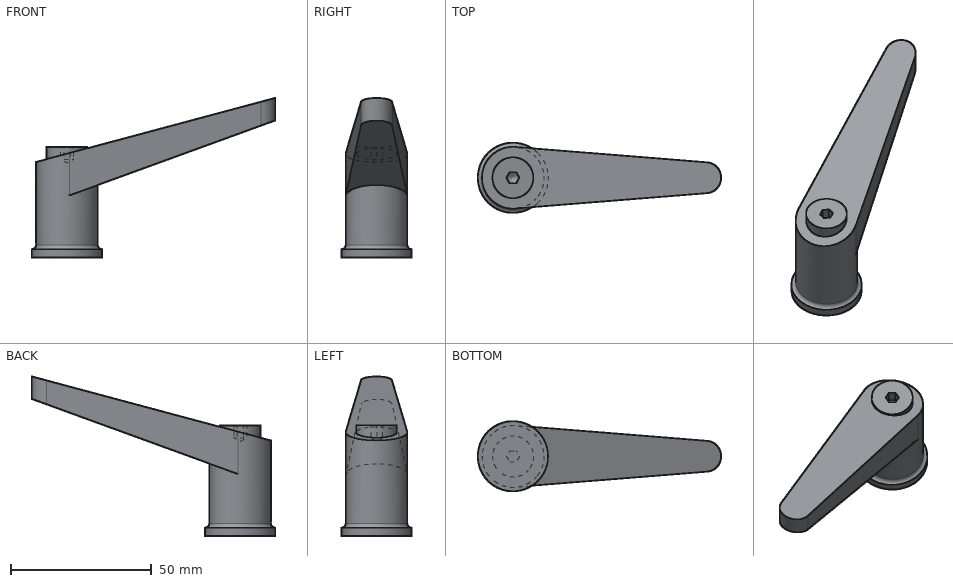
import cadquery as cq
import math

overall_length = 86.5
overall_height = 56.7
flange_diameter = 25.0
flange_height = 3.0
hub_radius = 11.0
tip_radius = 5.5
arm_top_angle = 15.0
arm_bottom_angle = 20.0
tip_thickness = 8.05
screw_radius = 7.3
screw_top = 39.35
socket_across_flats = 4.0
socket_depth = 4.3
socket_cone_angle = 120.0

flange_radius = flange_diameter / 2
cove_radius = flange_radius - hub_radius
tip_end = overall_length - flange_radius
tip_center = tip_end - tip_radius
top_slope = math.tan(math.radians(arm_top_angle))
bottom_slope = math.tan(math.radians(arm_bottom_angle))


def arm_top(x):
    """Height of the sloping upper face at x."""
    return overall_height - top_slope * (tip_end - x)


def arm_bottom(x):
    """Height of the sloping lower face at x."""
    return overall_height - tip_thickness - bottom_slope * (tip_end - x)


def side_prism(points):
    """Extrude an XZ outline across the full width of the part."""
    return cq.Workplane("XZ").polyline(points).close().extrude(flange_radius, both=True)


def make_hub():
    """Round column with a base flange and cove, cut off by the sloping upper face."""
    cove_top = flange_height + cove_radius
    cove_middle = cove_radius * (1 - math.sqrt(0.5))
    column = (
        cq.Workplane("XZ")
        .lineTo(flange_radius, 0)
        .lineTo(flange_radius, flange_height)
        .threePointArc(
            (hub_radius + cove_middle, flange_height + cove_middle),
            (hub_radius, cove_top),
        )
        .lineTo(hub_radius, overall_height)
        .lineTo(0, overall_height)
        .close()
        .revolve(360, (0, 0), (0, 1))
    )
    below_top_face = side_prism([
        (-flange_radius, 0),
        (flange_radius, 0),
        (flange_radius, arm_top(flange_radius)),
        (-flange_radius, arm_top(-flange_radius)),
    ])
    return column.intersect(below_top_face)


def make_arm():
    """Tapered arm: tangent lines from hub to round tip, bounded by two sloping faces."""
    tangent_sin = (hub_radius - tip_radius) / tip_center
    tangent_cos = math.sqrt(1 - tangent_sin**2)
    hub_x = hub_radius * tangent_sin
    hub_y = hub_radius * tangent_cos
    tip_x = tip_center + tip_radius * tangent_sin
    tip_y = tip_radius * tangent_cos
    plan = (
        cq.Workplane("XY")
        .moveTo(hub_x, -hub_y)
        .lineTo(tip_x, -tip_y)
        .threePointArc((tip_end, 0), (tip_x, tip_y))
        .lineTo(hub_x, hub_y)
        .close()
        .extrude(overall_height)
    )
    side = side_prism([
        (hub_x, arm_bottom(hub_x)),
        (tip_end, arm_bottom(tip_end)),
        (tip_end, arm_top(tip_end)),
        (hub_x, arm_top(hub_x)),
    ])
    return plan.intersect(side)


def make_screw_head():
    """Cylindrical head rising from inside the hub through the sloping face."""
    return cq.Workplane("XY").circle(screw_radius).extrude(screw_top)


def make_socket():
    """Hexagonal socket ending in a conical bottom."""
    across_corners = socket_across_flats / math.cos(math.radians(30))
    corner_radius = across_corners / 2
    cone_depth = corner_radius / math.tan(math.radians(socket_cone_angle / 2))
    hexagon = (
        cq.Workplane("XY")
        .workplane(offset=screw_top - socket_depth - cone_depth)
        .polygon(6, across_corners)
        .extrude(socket_depth + cone_depth)
    )
    drilled_space = (
        cq.Workplane("XZ")
        .moveTo(0, screw_top)
        .lineTo(corner_radius, screw_top)
        .lineTo(corner_radius, screw_top - socket_depth)
        .lineTo(0, screw_top - socket_depth - cone_depth)
        .close()
        .revolve(360, (0, 0), (0, 1))
    )
    return hexagon.intersect(drilled_space)


result = make_hub().union(make_arm()).union(make_screw_head()).cut(make_socket())